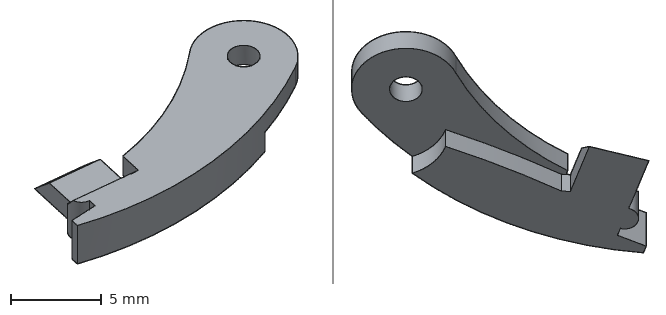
import cadquery as cq
import math

thickness = 2.8
plate_bottom = thickness / 2

head_radius = 3.0
head_middle_degrees = 130
pivot_diameter = 1.8

outer_radius = 21.88
outer_center_y = -11.28
outer_center_x = -math.sqrt((outer_radius - head_radius) ** 2 - outer_center_y ** 2)

inner_start_x = -1.95
inner_middle = (0.97, -5.75)
inner_end_x = 2.97
ramp_end_y = -10.28

foot_y = -13.95
tail_y = -15.7
tail_tip_left = 5.76
tail_root_left = 5.48

lug_radius = 0.77
lug_center = (4.19, foot_y)

ramp_top_x = 4.43
ramp_bottom_x = 3.22

tooth_tip_x = -0.25
tooth_back_y = -10.51

band_middle = (2.6, -6.35)
band_corner = (2.15, -2.97)
band_top_y = -1.81
band_end = (3.33, -10.02)
relief_radius = 3.09
relief_middle_degrees = 25


def outer_point(y):
    """Point on the outer edge at height y."""
    return (outer_center_x + math.sqrt(outer_radius ** 2 - (y - outer_center_y) ** 2), y)


def prism(outline, height, bottom=0.0):
    return outline.close().extrude(height).translate((0, 0, bottom))


tangent_scale = head_radius / (outer_radius - head_radius)
head_tangent = (-outer_center_x * tangent_scale, -outer_center_y * tangent_scale)
inner_start = (inner_start_x, -math.sqrt(head_radius ** 2 - inner_start_x ** 2))
head_middle_angle = math.radians(head_middle_degrees)
head_middle = (head_radius * math.cos(head_middle_angle), head_radius * math.sin(head_middle_angle))

plate = prism(
    cq.Workplane("XY")
    .moveTo(*inner_start)
    .threePointArc(inner_middle, (inner_end_x, ramp_end_y))
    .lineTo(ramp_bottom_x, ramp_end_y)
    .lineTo(ramp_bottom_x, foot_y)
    .lineTo(tail_root_left, foot_y)
    .lineTo(tail_tip_left, tail_y)
    .lineTo(*outer_point(tail_y))
    .threePointArc(outer_point(outer_center_y / 2), head_tangent)
    .threePointArc(head_middle, inner_start),
    thickness - plate_bottom,
    plate_bottom,
)
pivot_hole = cq.Workplane("XY").circle(pivot_diameter / 2).extrude(thickness)

relief_middle_angle = math.radians(relief_middle_degrees)
relief_middle = (
    band_corner[0] + relief_radius * math.sin(relief_middle_angle),
    band_corner[1] + relief_radius * (1 - math.cos(relief_middle_angle)),
)
band = prism(
    cq.Workplane("XY")
    .moveTo(*band_corner)
    .threePointArc(band_middle, band_end)
    .lineTo(ramp_bottom_x, tooth_back_y)
    .lineTo(ramp_bottom_x, foot_y)
    .lineTo(tail_root_left, foot_y)
    .lineTo(tail_tip_left, tail_y)
    .lineTo(*outer_point(tail_y))
    .threePointArc(outer_point(outer_center_y), outer_point(band_top_y))
    .threePointArc(relief_middle, band_corner),
    plate_bottom,
)

lug = cq.Workplane("XY").center(*lug_center).circle(lug_radius).extrude(thickness)

tooth = (
    cq.Workplane("XZ", origin=(0, tooth_back_y, 0))
    .moveTo(tooth_tip_x, 0)
    .lineTo(tooth_tip_x + plate_bottom, plate_bottom)
    .lineTo(ramp_top_x, plate_bottom)
    .lineTo(ramp_top_x, 0)
    .close()
    .extrude(tooth_back_y - foot_y)
)

ramp_cut = (
    cq.Workplane("XZ", origin=(0, ramp_end_y, 0))
    .moveTo(ramp_bottom_x, plate_bottom)
    .lineTo(ramp_top_x, thickness)
    .lineTo(ramp_bottom_x, thickness)
    .close()
    .extrude(ramp_end_y - tail_y)
)

result = plate.union(band).union(lug).union(tooth).cut(ramp_cut).cut(pivot_hole)